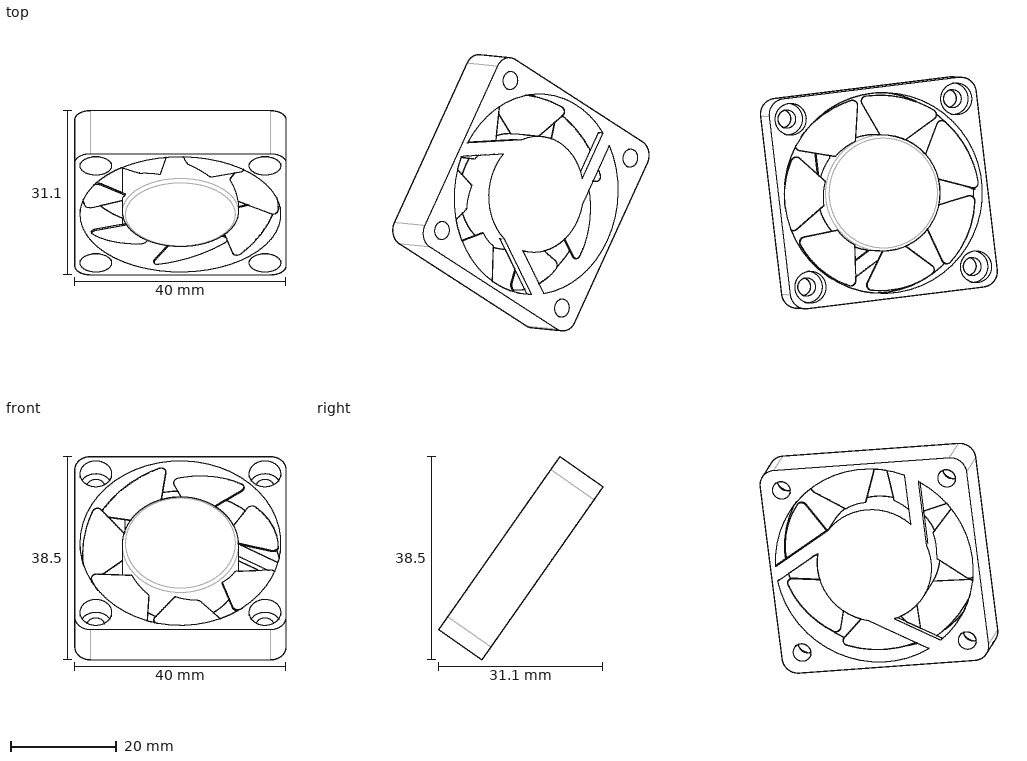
import cadquery as cq
import math


frame_width = 40.0
frame_depth = 10.0
corner_radius = 3.0
bore_diameter = 38.0
tilt_angle = 55.0

hole_pitch = 32.0
hole_diameter = 3.4
counterbore_diameter = 6.0
counterbore_depth = 4.25

hub_radius = 11.0
hub_edge_radius = 0.6

blade_count = 7
blade_tip_radius = 18.5
blade_middle_angle = 19.6
blade_middle_depth = 3.0
blade_root_sweep = 24.3
blade_root_rise = 2.0
blade_tip_sweep = 48.8
blade_tip_rise = 4.7
blade_thickness = 0.3
blade_corner_radius = 1.0
surface_margin = 0.1
surface_steps = 10

arm_count = 3
first_arm_direction = -30.0
arm_outer_offset = 10.5
arm_width = 2.5
arm_thickness = 1.5
arm_overlap = 0.3


def make_frame():
    frame = cq.Workplane("XY").box(frame_width, frame_width, frame_depth, centered=(True, True, False))
    frame = frame.edges("|Z").fillet(corner_radius)
    frame = frame.faces(">Z").workplane().hole(bore_diameter)
    return (
        frame.faces(">Z")
        .workplane()
        .rect(hole_pitch, hole_pitch, forConstruction=True)
        .vertices()
        .cboreHole(hole_diameter, counterbore_diameter, counterbore_depth)
    )


def make_hub():
    hub = cq.Workplane("XY").circle(hub_radius).extrude(frame_depth)
    return hub.faces(">Z").edges().fillet(hub_edge_radius)


def blade_point(outward, around):
    """Point on the twisted surface of the blade's front face.

    outward is 0 on the hub and 1 at the tip; around is -0.5 on the front edge and 0.5 on the rear edge.
    """

    def on_cylinder(radius, sweep, rise):
        angle = math.radians(blade_middle_angle + around * sweep)
        height = frame_depth - blade_middle_depth - around * rise
        return cq.Vector(radius * math.cos(angle), radius * math.sin(angle), height)

    root = on_cylinder(hub_radius, blade_root_sweep, blade_root_rise)
    tip = on_cylinder(blade_tip_radius, blade_tip_sweep, blade_tip_rise)
    return root + (tip - root) * outward


def twisted_surface():
    """Face that follows the blade's front and is larger than the blade on every side."""

    def curve(outward):
        first_around = -0.5 - surface_margin
        step = (1 + 2 * surface_margin) / surface_steps
        points = [blade_point(outward, first_around + index * step) for index in range(surface_steps + 1)]
        return cq.Edge.makeSpline(points)

    return cq.Face.makeRuledSurface(curve(-2 * surface_margin), curve(1 + 2 * surface_margin))


def blade_outline():
    """Prism with the blade's outline as seen along the hub's axis: two straight edges and a round tip."""

    def plan_point(outward, around):
        return blade_point(outward, around).toTuple()[:2]

    prism = (
        cq.Workplane("XY")
        .moveTo(*plan_point(-surface_margin, -0.5))
        .lineTo(*plan_point(1, -0.5))
        .threePointArc(plan_point(1, 0), plan_point(1, 0.5))
        .lineTo(*plan_point(-surface_margin, 0.5))
        .close()
        .extrude(frame_depth)
    )
    tip_corners = [
        edge
        for edge in prism.edges("|Z").vals()
        if math.hypot(edge.Center().x, edge.Center().y) > hub_radius
    ]
    return prism.newObject(tip_corners).fillet(blade_corner_radius)


def make_blade():
    """Blade front trimmed to its outline and thickened square to the blade's middle."""
    front_face = twisted_surface().intersect(blade_outline().val()).Faces()[0]
    middle_chord = blade_point(0.5, 0.5) - blade_point(0.5, -0.5)
    middle_radial = blade_point(1, 0) - blade_point(0, 0)
    rearward = middle_chord.cross(middle_radial).normalized()
    return cq.Workplane(cq.Solid.extrudeLinear(front_face, rearward * blade_thickness))


def make_arm():
    """Arm pointing along +X, from beside the hub's axis to the wall of the bore."""
    bore_radius = bore_diameter / 2
    bore_disc = cq.Workplane("XY").circle(bore_radius + arm_overlap).extrude(arm_thickness)
    strip = (
        cq.Workplane("XY")
        .center(0, arm_outer_offset - arm_width)
        .rect(frame_width, arm_width, centered=False)
        .extrude(arm_thickness)
    )
    return strip.intersect(bore_disc)


fan = make_frame().union(make_hub())

blade = make_blade()
for index in range(blade_count):
    fan = fan.union(blade.rotate((0, 0, 0), (0, 0, 1), index * 360 / blade_count))

arm = make_arm()
for index in range(arm_count):
    fan = fan.union(arm.rotate((0, 0, 0), (0, 0, 1), first_arm_direction + index * 360 / arm_count))

fan_solid = cq.Workplane(fan.solids().val())
result = fan_solid.translate((0, 0, -frame_depth / 2)).rotate((0, 0, 0), (1, 0, 0), tilt_angle)